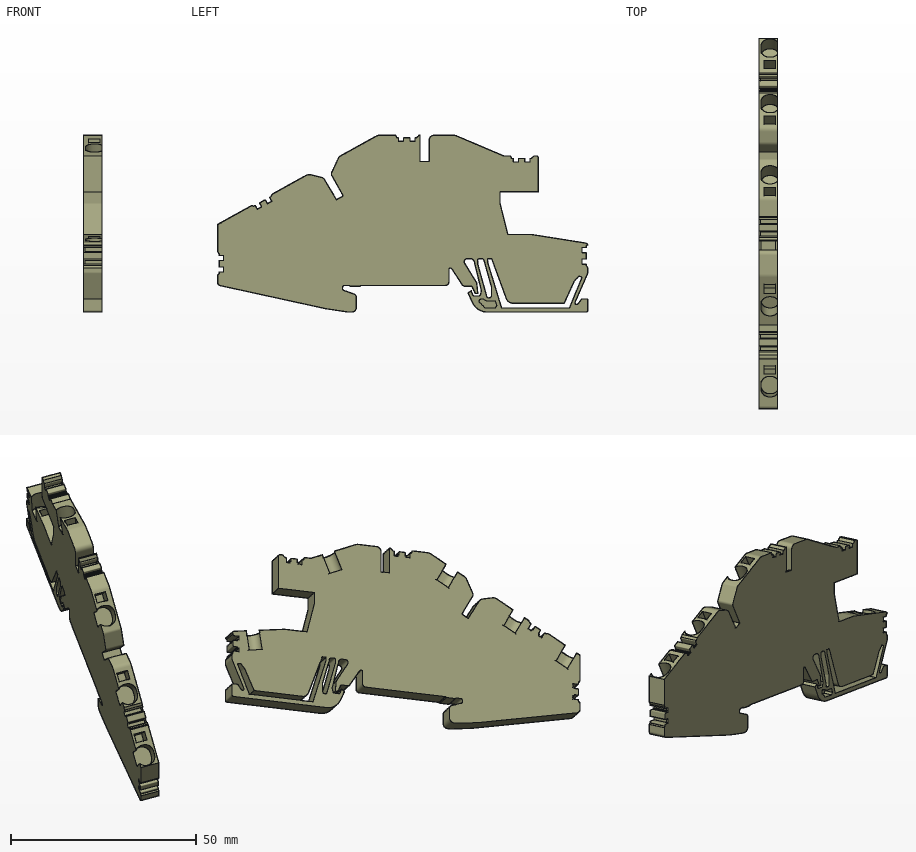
import cadquery as cq
import math


LENGTH = 100.0
HEIGHT = 47.8
THICKNESS = 5.1
SIDE = THICKNESS / 2
END = LENGTH / 2
TOP = HEIGHT / 2
BOTTOM = -TOP

CLIMB = 29.0
LEFT_FACE = (END, -0.2, CLIMB)
CREST_FACE = (17.2, 18.1, CLIMB)
UPPER_FACE = (-14.1, TOP, -23.0)
LOWER_FACE = (-34.8, -2.9, -9.0)

NOTCH_INNER = 0.9
NOTCH_OUTER = 2.2
NOTCH_DEPTH = 1.6
RECESS_START = 3.0
RECESS_END = 3.3
START_RAMP = 0.3
END_RAMP = 0.7
LAND_ROUND = 0.2
LAND_DEPTH = 0.7
SHALLOW_LAND_DEPTH = 0.4
KEYWAY_WIDTH = 1.0
KEYWAY_DEPTH = 0.5
KEYWAY_WEB = 0.4

SLOT_LEFT = -4.7
SLOT_RIGHT = -7.1
SLOT_FLOOR = 16.8
SLOT_WELL_WIDTH = 3.9
SLOT_WELL_DEPTH = 1.0

ENTRY_WIDTH = 5.0
ENTRY_SPAN = 5.6
ENTRY_ROUND = 2.3
ENTRY_X = 0.5
ENTRY_DEPTH = 5.5
POCKET_WIDTH = 3.0
POCKET_X = 0.4
POCKET_DEPTH = ENTRY_DEPTH
STEEP_LEAN = 2.0
SLACK_LEAN = 14.8
SQUARE_MOUTH = 2.4
SQUARE_WALLS = (-CLIMB, -CLIMB)
TAPERED_MOUTH = 2.6
LOWER_TAPERED_MOUTH = 2.2
TAPERED_WALLS = (STEEP_LEAN, SLACK_LEAN)
BUTTON_LENGTH = 5.0

FOOT_RECESS_DEPTH = 2.5


def face_axes(tilt):
    """Unit vectors along a face (towards -Y when flat) and out of it, as (Y, Z)."""
    angle = math.radians(tilt)
    along = (-math.cos(angle), math.sin(angle))
    outward = (math.sin(angle), math.cos(angle))
    return along, outward


def face_point(face, y):
    """Point of a sloping face at the given Y."""
    corner_y, corner_z, tilt = face
    return y, corner_z + (corner_y - y) * math.tan(math.radians(tilt))


def offset_point(origin, tilt, along, out):
    """Point at distances along and out of a face, measured from origin."""
    a, o = face_axes(tilt)
    return (origin[0] + along * a[0] + out * o[0], origin[1] + along * a[1] + out * o[1])


def rounded_profile(corners):
    """Closed YZ profile at X = 0; a corner (y, z, r) is rounded with radius r."""
    path = cq.Workplane("YZ")
    count = len(corners)
    for i, corner in enumerate(corners):
        here = cq.Vector(corner[0], corner[1])
        radius = corner[2] if len(corner) == 3 else 0
        if radius:
            before = corners[i - 1]
            after = corners[(i + 1) % count]
            back = (cq.Vector(before[0], before[1]) - here).normalized()
            ahead = (cq.Vector(after[0], after[1]) - here).normalized()
            half_angle = back.getAngle(ahead) / 2
            reach = radius / math.tan(half_angle)
            to_arc = radius / math.sin(half_angle) - radius
            start = here + back * reach
            middle = here + (back + ahead).normalized() * to_arc
            finish = here + ahead * reach
        else:
            start = here
        path = path.lineTo(start.x, start.y) if i else path.moveTo(start.x, start.y)
        if radius:
            path = path.threePointArc((middle.x, middle.y), (finish.x, finish.y))
    return path.close()


LEFT_END_RAIL = ((END, -10.8), 90.0, SHALLOW_LAND_DEPTH)
LEFT_RAIL = (face_point(LEFT_FACE, 38.1), CLIMB, SHALLOW_LAND_DEPTH)
CREST_RAIL = ((-1.1, TOP), 0.0, LAND_DEPTH)
UPPER_RAIL = ((-32.1, 18.3), 0.0, LAND_DEPTH)
RIGHT_END_RAIL = ((-END, -8.7), -90.0, SHALLOW_LAND_DEPTH)
RAILS = [LEFT_END_RAIL, LEFT_RAIL, CREST_RAIL, UPPER_RAIL, RIGHT_END_RAIL]


def rail_corners(rail):
    """Outline corners of a marker rail, in the outline's order."""
    centre, tilt, land = rail
    steps = [
        (-RECESS_START, 0, 0),
        (-RECESS_START + START_RAMP, -land, 0),
        (-NOTCH_OUTER, -land, LAND_ROUND),
        (-NOTCH_OUTER, -NOTCH_DEPTH, 0),
        (-NOTCH_INNER, -NOTCH_DEPTH, 0),
        (-NOTCH_INNER, -land, LAND_ROUND),
        (NOTCH_INNER, -land, LAND_ROUND),
        (NOTCH_INNER, -NOTCH_DEPTH, 0),
        (NOTCH_OUTER, -NOTCH_DEPTH, 0),
        (NOTCH_OUTER, -land, LAND_ROUND),
        (RECESS_END - END_RAMP, -land, 0),
        (RECESS_END, 0, 0),
    ]
    return [(*offset_point(centre, tilt, along, out), radius) for along, out, radius in steps]


def housing_outline():
    """Corners of the housing from the +Y end over the crest to the foot and back."""
    left_slope = [
        LEFT_FACE[:2],
        *rail_corners(LEFT_RAIL),
        (*face_point(LEFT_FACE, 25.5), 1.8),
        (21.4, 12.4, 1.5),
        (17.9, 6.5),
        (16.1, 7.5),
        (19.4, 13.4, 0.8),
        (*CREST_FACE[:2], 1.0),
    ]
    crest = [
        (6.7, TOP, 2.0),
        *rail_corners(CREST_RAIL),
        (SLOT_LEFT, TOP),
        (SLOT_LEFT, SLOT_FLOOR),
        (SLOT_RIGHT, SLOT_FLOOR),
        (SLOT_RIGHT, TOP, 1.4),
        (*UPPER_FACE[:2], 2.0),
    ]
    upper_arm = [
        face_point(UPPER_FACE, -27.3),
        *rail_corners(UPPER_RAIL),
        (-36.6, 18.3, 0.5),
        (-36.6, 8.6),
        (-26.3, 8.6),
        (-26.3, 5.4),
        (-28.4, LOWER_FACE[1]),
    ]
    right_end = [
        LOWER_FACE[:2],
        (*face_point(LOWER_FACE, -END + 0.3), 1.0),
        *rail_corners(RIGHT_END_RAIL),
        (-END, -13.3, 0.8),
    ]
    foot = [
        (-46.3, -21.8, 0.4),
        (-47.2, -21.8, 0.3),
        (-48.3, -20.3, 0.5),
        (-END, -20.3, 0.3),
        (-END, BOTTOM, 0.5),
        (-20.0, BOTTOM, 4.5),
        (-17.6, -18.7),
        (-18.5, -18.1),
        (-19.0, -19.5, 0.5),
        (-20.9, -19.5, 0.4),
        (-21.2, -18.1),
        (-19.1, -9.5, 1.0),
        (-16.0, -9.5, 0.8),
        (-20.0, -16.0),
        (-20.3, -18.9),
        (-19.6, -18.9),
        (-18.6, -16.9),
        (-16.3, -16.9, 0.8),
        (-13.1, -12.0, 0.4),
        (-12.5, -12.0, 0.3),
    ]
    underside = [
        (-12.5, -16.7, 1.0),
        (11.3, -16.7),
        (11.6, -16.9),
        (14.2, -16.9),
        (14.4, -16.7),
        (16.2, -16.7, 0.5),
        (16.2, -17.9, 0.3),
        (12.5, -19.2, 1.0),
        (12.5, BOTTOM, 1.3),
        (14.7, BOTTOM),
        (20.7, -23.0),
        (END, -16.6, 1.0),
    ]
    sections = [left_slope, crest, upper_arm, right_end, foot, underside]
    corners = [corner for section in sections for corner in section]
    return corners + rail_corners(LEFT_END_RAIL)


SPRING_OPENING = [
    (-20.2, -9.5, 0.4),
    (-21.8, -9.5, 0.6),
    (-23.9, -17.0),
    (-23.9, -20.0, 0.5),
    (-22.8, -20.0, 0.4),
    (-20.3, -11.0),
]
FOOT_OPENING = [
    (-22.9, -9.5),
    (-24.0, -9.5),
    (-28.4, -21.5, 2.0),
    (-43.6, -21.5),
    (-46.3, -15.6),
    (-47.5, -14.2, 0.3),
    (-48.4, -14.4, 0.3),
    (-45.0, -22.7),
    (-26.7, -22.7),
    (-23.0, -10.6),
]
FOOT_RECESS = [
    (-19.9, -20.4, 0.5),
    (-21.8, -20.4),
    (-22.7, -20.9),
    (-25.0, -20.9),
    (-25.4, -22.1),
    (-25.0, -22.7),
    (-22.2, -22.7),
]


def through_plate(corners):
    """Profile carried through the whole thickness."""
    return rounded_profile(corners).extrude(SIDE, both=True)


def rail_keyway(rail, side):
    """Deeper channel along one notch, closed at -X and open at +X."""
    centre, tilt, _ = rail
    edges = (side * NOTCH_OUTER, side * (NOTCH_OUTER - KEYWAY_WIDTH))
    floor = -NOTCH_DEPTH - KEYWAY_DEPTH
    section = [
        offset_point(centre, tilt, edges[0], -NOTCH_DEPTH),
        offset_point(centre, tilt, edges[1], -NOTCH_DEPTH),
        offset_point(centre, tilt, edges[1], floor),
        offset_point(centre, tilt, edges[0], floor),
    ]
    keyway = rounded_profile(section).extrude(THICKNESS - KEYWAY_WEB)
    return keyway.translate((-SIDE + KEYWAY_WEB, 0, 0))


def slot_well():
    """Deeper well in the floor of the bridge slot."""
    middle = (SLOT_LEFT + SLOT_RIGHT) / 2
    well = cq.Workplane("XY").box(SLOT_WELL_WIDTH, SLOT_LEFT - SLOT_RIGHT, SLOT_WELL_DEPTH)
    return well.translate((0, middle, SLOT_FLOOR - SLOT_WELL_DEPTH / 2))


def foot_recess():
    """Blind recess in the -X side of the foot."""
    return rounded_profile(FOOT_RECESS).extrude(FOOT_RECESS_DEPTH).translate((-SIDE, 0, 0))


def wire_entry(face, y):
    """Blind, nearly round hole square to its face; it breaks out through the +X side."""
    mouth_y, mouth_z = face_point(face, y)
    axis = cq.Vector(0, *face_axes(face[2])[1])
    bottom = cq.Vector(ENTRY_X, mouth_y, mouth_z) - axis * ENTRY_DEPTH
    floor_plane = cq.Plane(origin=bottom, xDir=(1, 0, 0), normal=axis)
    hole = cq.Workplane(floor_plane).rect(ENTRY_WIDTH, ENTRY_SPAN).extrude(2 * ENTRY_DEPTH)
    return hole.edges(cq.selectors.ParallelDirSelector(axis)).fillet(ENTRY_ROUND)


def pocket_section(face, y, mouth, leans):
    """Pocket corners in YZ: +Y and -Y mouth, then -Y and +Y floor."""
    tilt = face[2]
    centre = face_point(face, y)
    half = mouth / 2
    shifts = [-POCKET_DEPTH * math.tan(math.radians(lean + tilt)) for lean in leans]
    return [
        offset_point(centre, tilt, -half, 0),
        offset_point(centre, tilt, half, 0),
        offset_point(centre, tilt, half + shifts[1], -POCKET_DEPTH),
        offset_point(centre, tilt, -half + shifts[0], -POCKET_DEPTH),
    ]


def pocket_prism(section):
    """YZ section carried across the width of a pocket."""
    prism = rounded_profile(section).extrude(POCKET_WIDTH / 2, both=True)
    return prism.translate((POCKET_X, 0, 0))


def button_block(face, section):
    """Block below a pocket floor, square to the face."""
    floor_right, floor_left = section[2:]
    return pocket_prism(
        [
            floor_left,
            floor_right,
            offset_point(floor_right, face[2], 0, -BUTTON_LENGTH),
            offset_point(floor_left, face[2], 0, -BUTTON_LENGTH),
        ]
    )


STATIONS = [
    (LEFT_FACE, 47.4, 43.0, SQUARE_MOUTH, SQUARE_WALLS),
    (LEFT_FACE, 32.4, 28.0, SQUARE_MOUTH, SQUARE_WALLS),
    (CREST_FACE, 13.2, 8.7, SQUARE_MOUTH, SQUARE_WALLS),
    (UPPER_FACE, -22.3, -17.6, TAPERED_MOUTH, TAPERED_WALLS),
    (LOWER_FACE, -44.0, -39.5, LOWER_TAPERED_MOUTH, TAPERED_WALLS),
]

housing = through_plate(housing_outline())
housing = housing.cut(through_plate(SPRING_OPENING)).cut(through_plate(FOOT_OPENING))
housing = housing.cut(foot_recess()).cut(slot_well())
for rail in RAILS:
    for side in (-1, 1):
        housing = housing.cut(rail_keyway(rail, side))

buttons = []
for face, entry_y, pocket_y, mouth, leans in STATIONS:
    section = pocket_section(face, pocket_y, mouth, leans)
    button = button_block(face, section)
    housing = housing.cut(wire_entry(face, entry_y))
    housing = housing.cut(pocket_prism(section)).cut(button)
    buttons.append(button.val())

result = cq.Compound.makeCompound([housing.val(), *buttons])